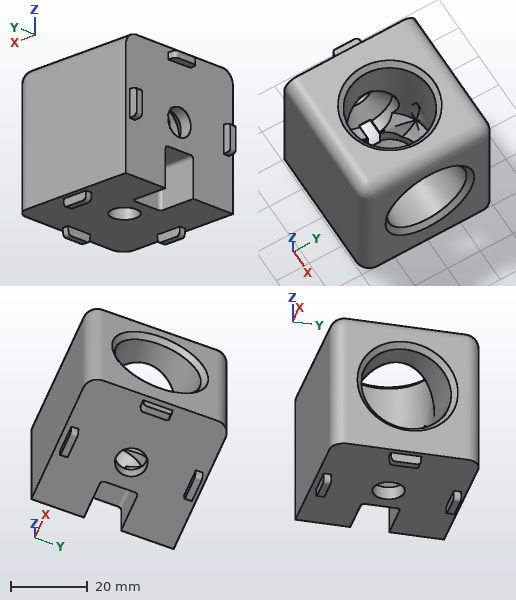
import cadquery as cq

side = 40.0
middle = side / 2
edge_radius = 3.95

hole_radius = 4.25
hole_depth = 3.6
seat_radius = 8.08
cone_top = 7.95
seat_height = 11.9
bore_floor_radius = 11.77
bore_floor_height = 15.3
bore_mouth_radius = 12.05
rim_radius = 13.5
rim_depth = 1.45
bore_seam_angle = 135

slot_width = 10.4
slot_depth = 12.03
slot_corner_radius = 1.0

channel_width = 3.55
channel_offset = 4.68
channel_reach = 5.1

tab_height = 2.5
tab_length = 8.25
tab_thickness = 2.0
tab_end_radius = 1.0
tab_draft = 0.25
tab_edge_gap = 1.55


def mirror_to_x_face(shape):
    """Swap X and Z, carrying a feature of the -Z face to the -X face."""
    return shape.mirror(cq.Vector(1, 0, -1).normalized(), (0, 0, 0))


def make_body():
    block = cq.Workplane("XY").box(side, side, side, centered=(False, True, False))
    rounded_edges = block.faces(">Z").edges("|X").add(block.faces(">X").edges("|Y and >Z"))
    rounded_edges = rounded_edges.add(block.faces(">X").edges("|Z"))
    return rounded_edges.fillet(edge_radius)


def make_bore():
    """Vertical bore, opening at the top and ending in a screw hole at Z = 0."""
    profile = [
        (0, 0),
        (hole_radius, 0),
        (hole_radius, hole_depth),
        (seat_radius, cone_top),
        (seat_radius, seat_height),
        (bore_floor_radius, bore_floor_height),
        (bore_mouth_radius, side - rim_depth),
        (rim_radius, side),
        (0, side),
    ]
    bore = cq.Workplane("XZ").polyline(profile).close().revolve(360, (0, 0, 0), (0, 1, 0))
    bore = bore.rotate((0, 0, 0), (0, 0, 1), bore_seam_angle)
    return bore.translate((middle, 0, 0))


def make_slot():
    slot = cq.Workplane("XY").box(slot_depth, slot_width, slot_depth, centered=(False, True, False))
    upper_corners = slot.faces(">Z").edges("|X")
    inner_corners = slot.faces(">X").edges("|Z")
    return upper_corners.add(inner_corners).fillet(slot_corner_radius)


def make_channel():
    near = slot_depth
    low = slot_depth - channel_offset
    outline = [
        (low, near),
        (near, near),
        (near, low),
        (near + channel_reach, low + channel_reach),
        (low + channel_reach, near + channel_reach),
    ]
    channel = cq.Workplane("XZ").polyline(outline).close()
    return channel.extrude(channel_width / 2, both=True)


def make_tab(along_x):
    """Tab below Z = 0, centred on the origin, with rounded free corners."""
    top = tab_length / 2
    tip = top - tab_draft
    outline = [(-top, 0), (top, 0), (tip, -tab_height), (-tip, -tab_height)]
    tab = cq.Workplane("XZ").polyline(outline).close().extrude(tab_thickness / 2, both=True)
    tab = tab.edges("|Y and <Z").fillet(tab_end_radius)
    return tab if along_x else tab.rotate((0, 0, 0), (0, 0, 1), 90)


def make_tabs():
    inset = tab_edge_gap + tab_thickness / 2
    tabs = make_tab(False).translate((side - inset, 0, 0))
    for sign in (-1, 1):
        tabs = tabs.union(make_tab(True).translate((middle, sign * (middle - inset), 0)))
    return tabs


result = make_body()
vertical_bore = make_bore()
for bore in (vertical_bore, mirror_to_x_face(vertical_bore)):
    result = result.cut(bore)
result = result.cut(make_slot()).cut(make_channel())
bottom_tabs = make_tabs()
for tabs in (bottom_tabs, mirror_to_x_face(bottom_tabs)):
    result = result.union(tabs)